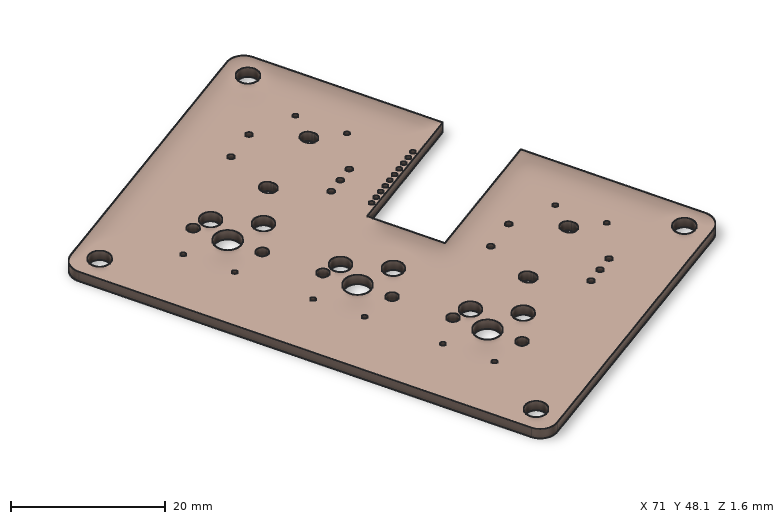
import cadquery as cq

length = 71.05
width = 48.1
thickness = 1.6
corner_radius = 2.5

notch_left = -5.25
notch_right = 6.1
notch_floor = 3.05

mount_diameter = 3.2
mount_spacing_x = 63.7
mount_spacing_y = 41.0

column_pitch = 19.0
switch_columns = [-column_pitch, 0, column_pitch]
encoder_columns = [-column_pitch, column_pitch]

switch_y = -9.5
stem_diameter = 4.0
peg_diameter = 1.8
peg_offset = 5.05
contact_diameter = 3.05
contact_offsets = [(-3.85, 2.55), (2.55, 5.05)]

lead_diameter = 0.8
lead_offset = 3.8
switch_lead_drop = 5.2
encoder_lead_y = 16.35

encoder_y = 7.75
encoder_pin_diameter = 1.0
encoder_pin_offset = 7.3
encoder_pin_pitch = 2.5
lug_slot_length = 2.5
lug_slot_width = 2.1
lug_slot_shift = -0.2
lug_slot_offset = 5.6

header_diameter = 0.8
header_x = -6.0
header_y = 11.4
header_span = 11.45
header_count = 10


def round_holes(points, diameter):
    """Cylinders through the full board thickness at the given points."""
    return cq.Workplane("XY").pushPoints(points).circle(diameter / 2).extrude(thickness)


def make_blank():
    """Rounded rectangular plate with the notch removed."""
    plate = cq.Workplane("XY").rect(length, width).extrude(thickness)
    plate = plate.edges("|Z").fillet(corner_radius)
    notch = (
        cq.Workplane("XY")
        .moveTo(notch_left, notch_floor)
        .lineTo(notch_right, notch_floor)
        .lineTo(notch_right, width / 2)
        .lineTo(notch_left, width / 2)
        .close()
        .extrude(thickness)
    )
    return plate.cut(notch)


def cut_mounting_holes(board):
    points = [
        (side_x * mount_spacing_x / 2, side_y * mount_spacing_y / 2)
        for side_x in (-1, 1)
        for side_y in (-1, 1)
    ]
    return board.cut(round_holes(points, mount_diameter))


def cut_lead_pair(board, x, y):
    points = [(x - lead_offset, y), (x + lead_offset, y)]
    return board.cut(round_holes(points, lead_diameter))


def cut_switch(board, x):
    """Stem hole, two pegs, two contact holes and a pair of lamp leads."""
    pegs = [(x - peg_offset, switch_y), (x + peg_offset, switch_y)]
    contacts = [(x + dx, switch_y + dy) for dx, dy in contact_offsets]
    board = board.cut(round_holes([(x, switch_y)], stem_diameter))
    board = board.cut(round_holes(pegs, peg_diameter))
    board = board.cut(round_holes(contacts, contact_diameter))
    return cut_lead_pair(board, x, switch_y - switch_lead_drop)


def cut_encoder(board, x):
    """Three pins on the +X side, two on the -X side, two lug slots and a pair of lamp leads."""
    pins = [(x + encoder_pin_offset, encoder_y + row * encoder_pin_pitch) for row in (-1, 0, 1)]
    pins += [(x - encoder_pin_offset, encoder_y + row * encoder_pin_pitch) for row in (-1, 1)]
    lugs = [(x + lug_slot_shift, encoder_y + side * lug_slot_offset) for side in (-1, 1)]
    slots = cq.Workplane("XY").pushPoints(lugs).slot2D(lug_slot_length, lug_slot_width).extrude(thickness)
    board = board.cut(round_holes(pins, encoder_pin_diameter)).cut(slots)
    return cut_lead_pair(board, x, encoder_lead_y)


def cut_header(board):
    pitch = header_span / (header_count - 1)
    first_y = header_y - header_span / 2
    points = [(header_x, first_y + index * pitch) for index in range(header_count)]
    return board.cut(round_holes(points, header_diameter))


result = make_blank()
result = cut_mounting_holes(result)
for column_x in switch_columns:
    result = cut_switch(result, column_x)
for column_x in encoder_columns:
    result = cut_encoder(result, column_x)
result = cut_header(result)